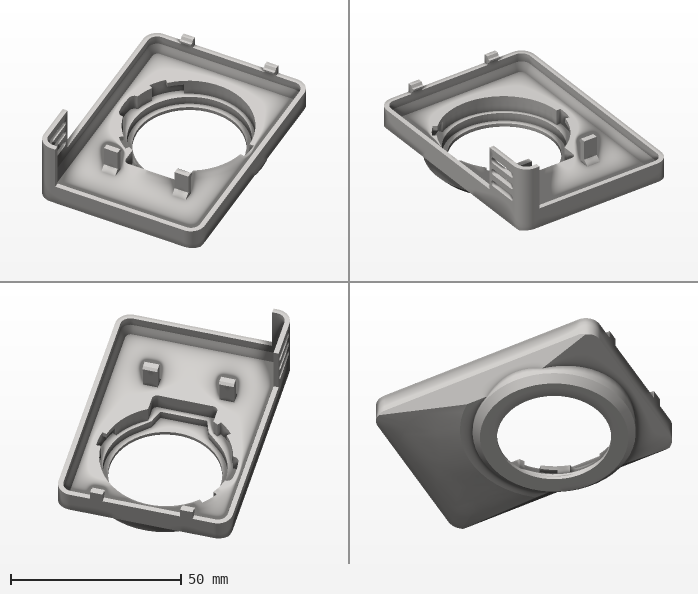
import cadquery as cq
import math

WIDTH = 53.0
LENGTH = 74.0
CORNER_RADIUS = 4.6
WALL = 1.55
RIM_TOP = 14.6
WALL_BOTTOM = 8.1

SLOPE_TOP = 11.8
FLOOR_Z = 8.9
SIDE_SLOPE_RUN = 1.4
END_SLOPE_RUN = 1.1
FLOOR_CORNER_RADIUS = 1.7

BELLY_BOTTOM = 3.2
BELLY_HALF_WIDTH = 21.3
BELLY_BACK_Y = 12.05
BELLY_FRONT_RADIUS = 27.7

RING_Y = 10.1
RING_RADIUS = 47.95 / 2
RING_BOTTOM_RADIUS = 21.8
RING_CHAMFER_HEIGHT = 2.15

HOLE_RADIUS = 33.6 / 2
SEAT_RADIUS = 18.35
SEAT_SIDES = 72
SEAT_Z = 1.1
BORE_RADIUS = 19.7
BORE_X = -0.3
LEDGE_Z = 3.8

RECESS_LEFT = -10.15
RECESS_RIGHT = 9.7
RECESS_FRONT_Y = -12.8
RECESS_FILLET = 1.55
SEAT_TAB_BACK_HALF_WIDTH = 8.7
SEAT_TAB_FRONT_HALF_WIDTH = 7.1
SEAT_TAB_BACK_Y = -6.9
SEAT_TAB_FRONT_Y = -11.25

NOTCH_RADIUS = 21.1
NOTCH_SPAN = 14.6
NOTCH_ANGLES = (-5.0, 142.4, 227.7)
BAYONET_LIP = 1.55
BULGE_RADIUS = 21.3
BULGE_SPAN = 29.0
BULGE_ANGLE = 180.5
BULGE_FILLET = 1.85

GUARD_TOP = 29.2
GUARD_LENGTH_X = 6.1
GUARD_LENGTH_Y = 16.95
SLOT_LENGTH = 11.1
SLOT_HEIGHT = 2.0
SLOT_COUNT = 3
SLOT_Y = -26.6
SLOT_PITCH = 4.0
SLOT_MIDDLE_Z = 21.5

RIM_HOOK_WIDTH = 3.8
RIM_HOOK_CENTRES = (-13.6, 13.8)
RIM_HOOK_HEIGHT = 2.9
RIM_HOOK_REACH = 2.7
RIM_HOOK_TOP_DEPTH = 1.3
RIM_HOOK_NOSE_ROOT = 1.85
RIM_HOOK_NOSE_DROP = 0.8
RIM_HOOK_NOSE_HEIGHT = 0.6
RIM_HOOK_UNDERSIDE_RISE = 0.95

FLOOR_HOOK_WIDTH = 4.5
FLOOR_HOOK_CENTRES = (-11.85, 11.4)
FLOOR_HOOK_TOP = 16.9
FLOOR_HOOK_BACK_Y = -17.75
FLOOR_HOOK_STEM = 1.85
FLOOR_HOOK_LIP = 0.7
FLOOR_HOOK_FOOT = 1.6
FLOOR_HOOK_BEVEL_RUN = 0.75
FLOOR_HOOK_BEVEL_DROP = 0.7
FLOOR_HOOK_NOSE_HEIGHT = 0.45
FLOOR_HOOK_UNDERSIDE_RISE = 0.4

FRONT_Y = -LENGTH / 2
BACK_Y = LENGTH / 2
LEFT_X = -WIDTH / 2
INNER_WIDTH = WIDTH - 2 * WALL
INNER_LENGTH = LENGTH - 2 * WALL
INNER_RADIUS = CORNER_RADIUS - WALL


def rounded_block(width, length, radius, bottom, top):
    block = cq.Workplane("XY").workplane(offset=bottom).rect(width, length).extrude(top - bottom)
    return block.edges("|Z").fillet(radius)


def disc(radius, x, bottom, top):
    return cq.Workplane("XY").workplane(offset=bottom).center(x, RING_Y).circle(radius).extrude(top - bottom)


def bore_point(radius, angle):
    return (
        BORE_X + radius * math.cos(math.radians(angle)),
        RING_Y + radius * math.sin(math.radians(angle)),
    )


def inner_slope():
    """Space above the floor, bounded by the sloped foot of the rim."""
    floor_width = INNER_WIDTH - 2 * SIDE_SLOPE_RUN
    floor_length = INNER_LENGTH - 2 * END_SLOPE_RUN
    lower = cq.Sketch().rect(floor_width, floor_length).vertices().fillet(FLOOR_CORNER_RADIUS)
    upper = cq.Sketch().rect(INNER_WIDTH, INNER_LENGTH).vertices().fillet(INNER_RADIUS)
    upper = upper.moved(cq.Location(cq.Vector(0, 0, SLOPE_TOP - FLOOR_Z)))
    return cq.Workplane("XY").workplane(offset=FLOOR_Z).placeSketch(lower, upper).loft(ruled=True)


def belly():
    """Tapered underside: flat sides and back, and a front drawn in to an arc around the ring."""
    arc_drop = math.sqrt(BELLY_FRONT_RADIUS**2 - BELLY_HALF_WIDTH**2)
    arc_end_y = RING_Y - arc_drop
    lower = (
        cq.Workplane("XY").workplane(offset=BELLY_BOTTOM)
        .moveTo(-BELLY_HALF_WIDTH, arc_end_y)
        .threePointArc((0, RING_Y - BELLY_FRONT_RADIUS), (BELLY_HALF_WIDTH, arc_end_y))
        .lineTo(BELLY_HALF_WIDTH, BELLY_BACK_Y)
        .lineTo(-BELLY_HALF_WIDTH, BELLY_BACK_Y)
        .close()
    )
    upper = (
        cq.Workplane("XY").workplane(offset=WALL_BOTTOM)
        .moveTo(LEFT_X, FRONT_Y)
        .lineTo(-LEFT_X, FRONT_Y)
        .lineTo(-LEFT_X, BACK_Y)
        .lineTo(LEFT_X, BACK_Y)
        .close()
    )
    taper = cq.Workplane(cq.Solid.makeLoft([lower.val(), upper.val()], True))
    outline = rounded_block(WIDTH, LENGTH, CORNER_RADIUS, BELLY_BOTTOM, WALL_BOTTOM)
    return taper.intersect(outline)


def ring():
    profile = [
        (0, 0),
        (RING_BOTTOM_RADIUS, 0),
        (RING_RADIUS, RING_CHAMFER_HEIGHT),
        (RING_RADIUS, WALL_BOTTOM),
        (0, WALL_BOTTOM),
    ]
    return cq.Workplane("XZ").polyline(profile).close().revolve().translate((0, RING_Y, 0))


def bore_sector(radius, angle, span, top=FLOOR_Z):
    """Wedge from the bore axis out to an arc, standing on the ledge."""
    start = angle - span / 2
    end = angle + span / 2
    return (
        cq.Workplane("XY").workplane(offset=LEDGE_Z)
        .moveTo(BORE_X, RING_Y)
        .lineTo(*bore_point(radius, start))
        .threePointArc(bore_point(radius, angle), bore_point(radius, end))
        .close()
        .extrude(top - LEDGE_Z)
    )


def upper_opening():
    """Bore down to the ledge, with its front recess, bayonet pockets and bulge."""
    opening = disc(BORE_RADIUS, BORE_X, LEDGE_Z, FLOOR_Z)
    recess = (
        cq.Workplane("XY").workplane(offset=LEDGE_Z)
        .moveTo(RECESS_LEFT, RECESS_FRONT_Y)
        .lineTo(RECESS_RIGHT, RECESS_FRONT_Y)
        .lineTo(RECESS_RIGHT, RING_Y)
        .lineTo(RECESS_LEFT, RING_Y)
        .close()
        .extrude(FLOOR_Z - LEDGE_Z)
        .edges("|Z and <Y").fillet(RECESS_FILLET)
    )
    opening = opening.union(recess)
    for angle in NOTCH_ANGLES:
        opening = opening.union(bore_sector(NOTCH_RADIUS, angle, NOTCH_SPAN))
        undercut = bore_sector(NOTCH_RADIUS, angle - NOTCH_SPAN, NOTCH_SPAN, FLOOR_Z - BAYONET_LIP)
        opening = opening.union(undercut)
    bulge = bore_sector(BULGE_RADIUS, BULGE_ANGLE, BULGE_SPAN)
    bulge = bulge.edges("|Z and (not >X)").fillet(BULGE_FILLET)
    return opening.union(bulge)


def lower_opening():
    """Seat below the ledge with its front tab, and the through hole."""
    depth = LEDGE_Z - SEAT_Z
    seat_plane = cq.Workplane("XY").workplane(offset=SEAT_Z)
    seat = seat_plane.center(0, RING_Y).polygon(SEAT_SIDES, 2 * SEAT_RADIUS).extrude(depth)
    shoulder = SEAT_RADIUS * math.sqrt(0.5)
    tab_outline = [
        (-shoulder, RING_Y - shoulder),
        (-SEAT_TAB_BACK_HALF_WIDTH, SEAT_TAB_BACK_Y),
        (-SEAT_TAB_FRONT_HALF_WIDTH, SEAT_TAB_FRONT_Y),
        (SEAT_TAB_FRONT_HALF_WIDTH, SEAT_TAB_FRONT_Y),
        (SEAT_TAB_BACK_HALF_WIDTH, SEAT_TAB_BACK_Y),
        (shoulder, RING_Y - shoulder),
    ]
    tab = seat_plane.polyline(tab_outline).close().extrude(depth)
    return seat.union(tab).union(disc(HOLE_RADIUS, 0, 0, SEAT_Z))


def corner_guard():
    """Upward extension of the rim around one corner, with slots in its long side."""
    wall = rounded_block(WIDTH, LENGTH, CORNER_RADIUS, RIM_TOP, GUARD_TOP)
    wall = wall.cut(rounded_block(INNER_WIDTH, INNER_LENGTH, INNER_RADIUS, RIM_TOP, GUARD_TOP))
    corner = (
        cq.Workplane("XY").workplane(offset=RIM_TOP)
        .moveTo(LEFT_X, FRONT_Y)
        .rect(2 * GUARD_LENGTH_X, 2 * GUARD_LENGTH_Y)
        .extrude(GUARD_TOP - RIM_TOP)
    )
    slots = (
        cq.Workplane("YZ", origin=(LEFT_X, SLOT_Y, SLOT_MIDDLE_Z))
        .rarray(0.75, SLOT_PITCH, 1, SLOT_COUNT)
        .slot2D(SLOT_LENGTH, SLOT_HEIGHT)
        .extrude(WALL)
    )
    return wall.intersect(corner).cut(slots)


def hooks(profile, width, centres):
    """Equal hooks extruded from one Y-Z profile, one at each centre along X."""
    hook = cq.Workplane("YZ").polyline(profile).close().extrude(width / 2, both=True)
    row = cq.Workplane("XY")
    for centre in centres:
        row = row.add(hook.translate((centre, 0, 0)))
    return row.combine()


def rim_hooks():
    top = RIM_TOP + RIM_HOOK_HEIGHT
    stem_y = BACK_Y - WALL
    tip_y = BACK_Y - RIM_HOOK_REACH
    nose_top = top - RIM_HOOK_NOSE_DROP
    nose_bottom = nose_top - RIM_HOOK_NOSE_HEIGHT
    profile = [
        (BACK_Y, RIM_TOP),
        (BACK_Y, top),
        (BACK_Y - RIM_HOOK_TOP_DEPTH, top),
        (BACK_Y - RIM_HOOK_NOSE_ROOT, nose_top),
        (tip_y, nose_top),
        (tip_y, nose_bottom),
        (stem_y, nose_bottom - RIM_HOOK_UNDERSIDE_RISE),
        (stem_y, RIM_TOP),
    ]
    return hooks(profile, RIM_HOOK_WIDTH, RIM_HOOK_CENTRES)


def floor_hooks():
    stem_inner_y = FLOOR_HOOK_BACK_Y + FLOOR_HOOK_STEM
    tip_y = stem_inner_y + FLOOR_HOOK_LIP
    nose_top = FLOOR_HOOK_TOP - FLOOR_HOOK_BEVEL_DROP
    nose_bottom = nose_top - FLOOR_HOOK_NOSE_HEIGHT
    profile = [
        (FLOOR_HOOK_BACK_Y - FLOOR_HOOK_FOOT, FLOOR_Z),
        (FLOOR_HOOK_BACK_Y, FLOOR_Z + FLOOR_HOOK_FOOT),
        (FLOOR_HOOK_BACK_Y, FLOOR_HOOK_TOP),
        (tip_y - FLOOR_HOOK_BEVEL_RUN, FLOOR_HOOK_TOP),
        (tip_y, nose_top),
        (tip_y, nose_bottom),
        (stem_inner_y, nose_bottom - FLOOR_HOOK_UNDERSIDE_RISE),
        (stem_inner_y, FLOOR_Z),
    ]
    return hooks(profile, FLOOR_HOOK_WIDTH, FLOOR_HOOK_CENTRES)


tray = rounded_block(WIDTH, LENGTH, CORNER_RADIUS, WALL_BOTTOM, RIM_TOP)
tray = tray.cut(rounded_block(INNER_WIDTH, INNER_LENGTH, INNER_RADIUS, SLOPE_TOP, RIM_TOP))
tray = tray.cut(inner_slope())

result = tray.union(belly()).union(ring())
result = result.cut(upper_opening()).cut(lower_opening())
result = result.union(corner_guard()).union(rim_hooks()).union(floor_hooks())